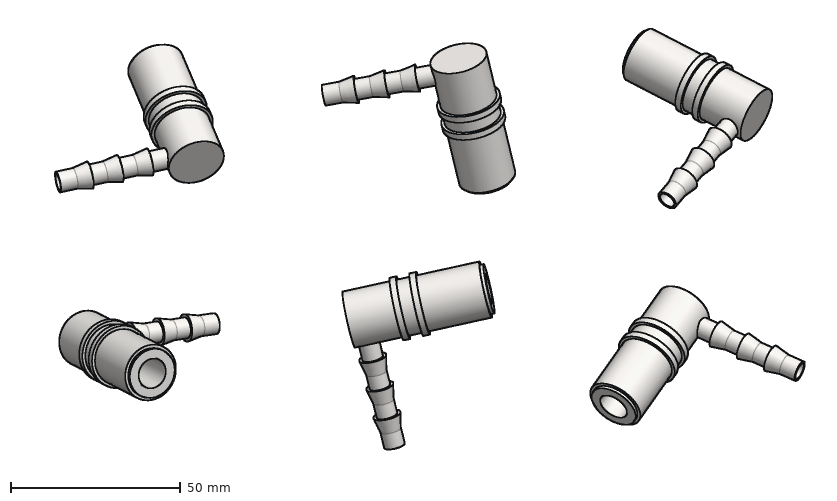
import cadquery as cq

barrel_end_x = 42.5
overall_depth_y = 51.0

barrel_radius = 8.5
nose_radius = 7.5
nose_length = 1.0
socket_radius = 4.55
socket_depth = 20.0
passage_radius = 2.5

ring_diameter = 19.0
ring_radius = ring_diameter / 2
ring_width = 2.0
first_ring_x = 20.0
ring_pitch = 6.0
ring_count = 2

stem_radius = 3.15
barb_radius = 4.15
barb_length = 4.65
barb_pitch = 9.25
barb_count = 3
tip_length = 5.15
stem_x = barrel_end_x - barb_radius
stem_tip_y = ring_radius - overall_depth_y


def barrel_cylinder(radius, start_x, end_x):
    """Solid cylinder on the barrel axis."""
    return cq.Workplane("YZ", origin=(start_x, 0, 0)).circle(radius).extrude(end_x - start_x)


def stem_cylinder(radius, end_y):
    """Solid cylinder on the stem axis, from the stem tip up to end_y."""
    return cq.Workplane("XZ", origin=(stem_x, end_y, 0)).circle(radius).extrude(end_y - stem_tip_y)


def make_barb(small_end_y):
    """Cone that widens from the stem surface toward the barrel."""
    cone = cq.Solid.makeCone(
        stem_radius,
        barb_radius,
        barb_length,
        pnt=cq.Vector(stem_x, small_end_y, 0),
        dir=cq.Vector(0, 1, 0),
    )
    return cq.Workplane(obj=cone)


def make_passage():
    """Round passage along the barrel that turns into the stem at a mitred corner."""
    along_barrel = barrel_cylinder(passage_radius, 0, stem_x)
    along_stem = stem_cylinder(passage_radius, 0)
    corner = barrel_cylinder(passage_radius, 0, barrel_end_x).intersect(
        stem_cylinder(passage_radius, barrel_radius)
    )
    return along_barrel.union(along_stem).union(corner)


def make_elbow():
    """Barrel, nose and barbed stem in one piece, with the socket and passage bored through."""
    nose = barrel_cylinder(nose_radius, 0, nose_length)
    barrel = barrel_cylinder(barrel_radius, nose_length, barrel_end_x)
    elbow = nose.union(barrel).union(stem_cylinder(stem_radius, 0))
    for i in range(barb_count):
        elbow = elbow.union(make_barb(stem_tip_y + tip_length + i * barb_pitch))
    socket = barrel_cylinder(socket_radius, 0, socket_depth)
    return elbow.cut(socket).cut(make_passage())


def make_ring(start_x):
    """Flat ring that fits around the barrel."""
    return (
        cq.Workplane("YZ", origin=(start_x, 0, 0))
        .circle(ring_radius)
        .circle(barrel_radius)
        .extrude(ring_width)
    )


elbow = make_elbow()
rings = [make_ring(first_ring_x + i * ring_pitch) for i in range(ring_count)]

result = cq.Compound.makeCompound([elbow.solids().val(), *[ring.val() for ring in rings]])